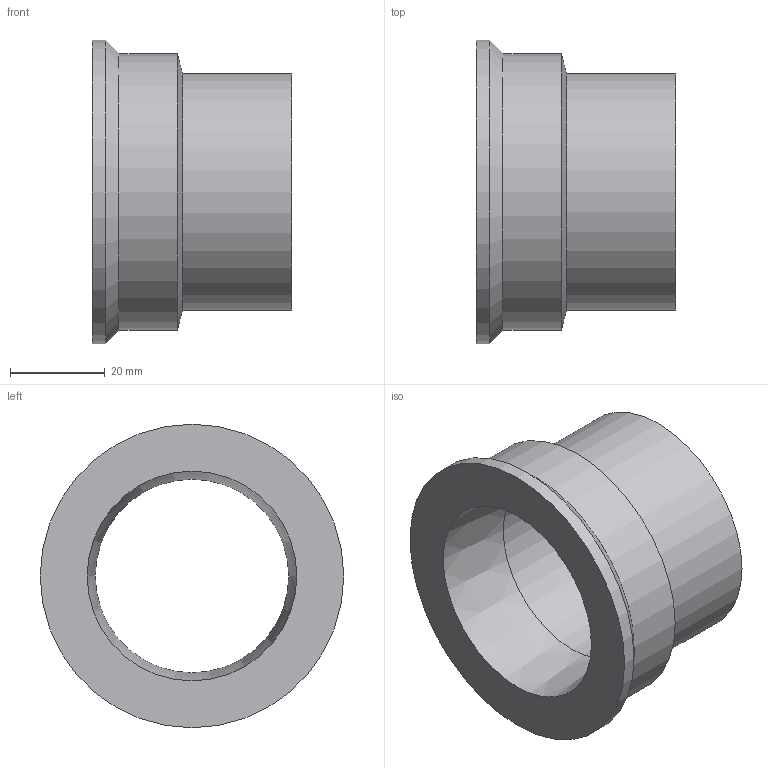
import cadquery as cq
import math

total_length = 42.0
flange_diameter = 64.0
collar_diameter = 58.4
spigot_diameter = 50.0
bore_diameter = 40.8
bore_mouth_diameter = 44.2
flange_rim_width = 2.8
spigot_length = 23.0
bore_taper_length = 16.2
shoulder_angle = 15.0

flange_radius = flange_diameter / 2
collar_radius = collar_diameter / 2
spigot_radius = spigot_diameter / 2
bore_radius = bore_diameter / 2
bore_mouth_radius = bore_mouth_diameter / 2

flange_cone_end = flange_rim_width + (flange_radius - collar_radius)
shoulder_end = total_length - spigot_length
shoulder_length = (collar_radius - spigot_radius) * math.tan(math.radians(shoulder_angle))
shoulder_start = shoulder_end - shoulder_length


def revolve_about_x(profile_points):
    """Revolve a closed (x, radius) profile a full turn about the X axis."""
    profile = cq.Workplane("XY").polyline(profile_points).close()
    return profile.revolve(360, (0, 0, 0), (1, 0, 0))


wall_section = [
    (0, bore_mouth_radius),
    (0, flange_radius),
    (flange_rim_width, flange_radius),
    (flange_cone_end, collar_radius),
    (shoulder_start, collar_radius),
    (shoulder_end, spigot_radius),
    (total_length, spigot_radius),
    (total_length, bore_radius),
    (bore_taper_length, bore_radius),
]

result = revolve_about_x(wall_section)